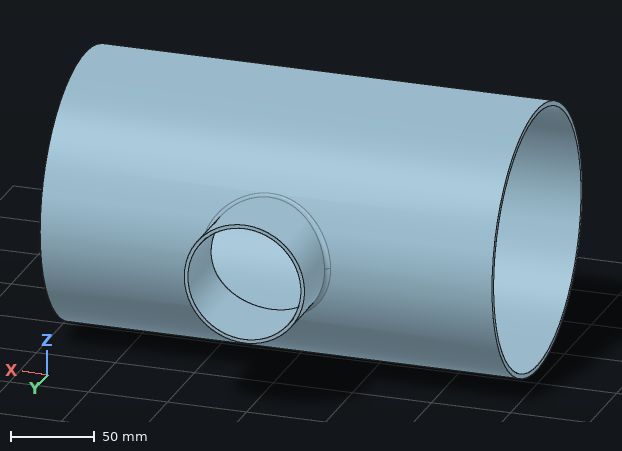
import cadquery as cq

run_length = 286.0
run_outer_diameter = 168.2
run_inner_diameter = 162.2
branch_outer_diameter = 76.0
branch_inner_diameter = 71.5
overall_depth = 208.2
weld_radius = 3.0

run_outer_radius = run_outer_diameter / 2
branch_reach = overall_depth - run_outer_radius


def run_cylinder(diameter):
    """Solid cylinder along X, centred on the origin."""
    return cq.Workplane("YZ").circle(diameter / 2).extrude(run_length / 2, both=True)


def branch_cylinder(diameter):
    """Solid cylinder from the run axis out to the branch mouth."""
    return cq.Workplane("XZ").circle(diameter / 2).extrude(-branch_reach)


def outer_body():
    """Run and branch envelopes joined, with a weld fillet around the junction."""
    body = run_cylinder(run_outer_diameter).union(branch_cylinder(branch_outer_diameter))
    junction_box = cq.selectors.BoxSelector(
        (-branch_outer_diameter, 0, -branch_outer_diameter),
        (branch_outer_diameter, run_outer_radius + weld_radius, branch_outer_diameter),
        boundingbox=True,
    )
    return body.edges(junction_box).fillet(weld_radius)


result = (
    outer_body()
    .cut(run_cylinder(run_inner_diameter))
    .cut(branch_cylinder(branch_inner_diameter))
)